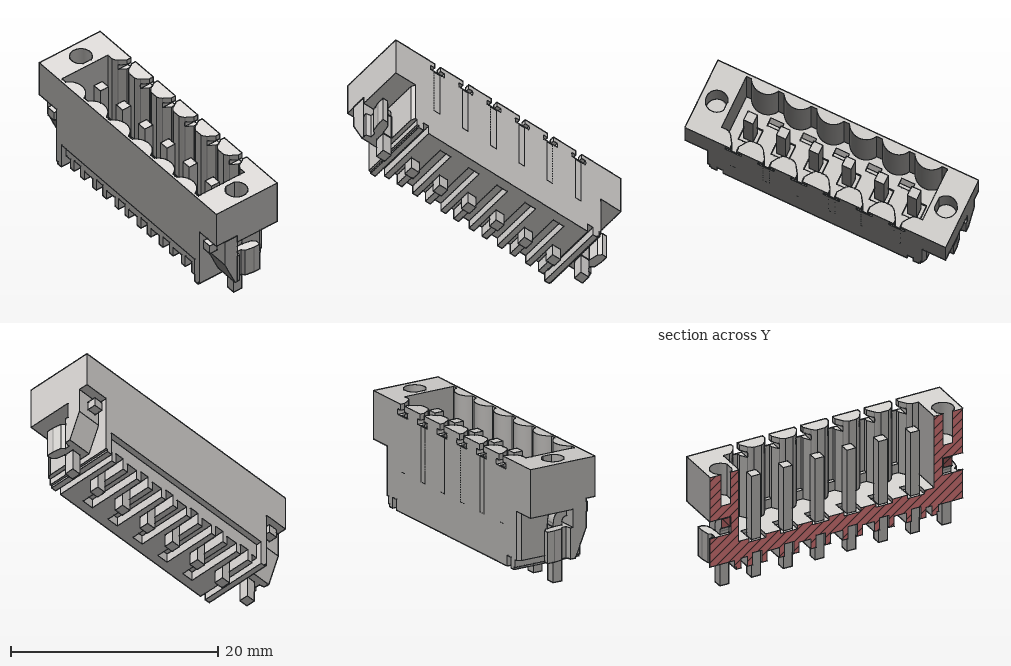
import cadquery as cq
import math


pin_count = 6
pitch = 3.5
pin_size = 1.0
pin_y = 3.53
contact_top = 11.25
contact_xs = [(i - (pin_count - 1) / 2) * pitch for i in range(pin_count)]
gap_xs = [(i - (pin_count - 2) / 2) * pitch for i in range(pin_count - 1)]
anchor_x = -(pin_count + 1) / 2 * pitch

length = 27.95
depth = 7.45
top = 12.55
base = 1.5
end_width = 2.7
left = -length / 2
main_left = left + end_width
edge_step_width = 0.2
edge_step_height = 0.27

cavity_length = 21.5
cavity_x = -0.025
cavity_front = 0.3
cavity_back = 5.9
cavity_floor = 4.6
front_lobe_radius = 1.63
front_lobe_crest = 1.18
flank_end = 0.83
flank_end_y = 6.25
crest_start = 1.33
flank_arc_mid = (1.06, 6.04)
slot_width = 0.7
slot_sill = 11.37
slot_front = 6.97
slot_web = 0.1
slot_web_bottom = 5.6
groove_radius = 0.87
groove_height = 0.56
pin_recess_size = 1.8
pin_recess_depth = 0.4
pocket_width = 1.4
pocket_front = 1.18
pocket_ridge = 1.62
pocket_back = 2.02
pocket_depth = 0.4

front_recess_length = pin_count * pitch
front_recess_depth = 0.6
front_recess_top = 4.35
foot_gap_top = 2.6
foot_gap_width = 1.3
foot_width = pitch - foot_gap_width
foot_gap_back = 6.5
pin_slot_top = 2.85

bracket_bottom = 2.53
bracket_front = 1.0
bracket_shoulder = 8.42
bevel_top = 5.5
bevel_bottom_y = 2.27
opening_front = 2.53
opening_top = 7.58
opening_depth = 2.27
lip_front = 7.0
lip_depth = 2.5
lug_top = 5.73
right_setback = 0.05
screw_hole_diameter = 2.2
screw_hole_depth = 3.5
screw_hole_y = 3.76

anchor_bend_radius = 1.5
anchor_tip_y = 0.1


def block(x0, x1, y0, y1, z0, z1):
    """Box between two opposite corners."""
    return cq.Workplane("XY").box(x1 - x0, y1 - y0, z1 - z0, centered=False).translate((x0, y0, z0))


def square_bar(x, y, size, z0, z1):
    """Upright square bar centred on (x, y)."""
    return block(x - size / 2, x + size / 2, y - size / 2, y + size / 2, z0, z1)


def prism(points, z0, z1):
    """Upright prism from a plan outline."""
    return cq.Workplane("XY").workplane(offset=z0).polyline(points).close().extrude(z1 - z0)


def post(x, y, radius, z0, z1):
    """Upright round post."""
    return cq.Workplane("XY").workplane(offset=z0).center(x, y).circle(radius).extrude(z1 - z0)


def make_contact(x):
    """Straight square contact."""
    return square_bar(x, pin_y, pin_size, 0, contact_top)


def make_anchor():
    """Left anchor pin: a leg that bends forward through the bracket."""
    leg_front = pin_y - pin_size / 2
    leg_back = pin_y + pin_size / 2
    bend_z = opening_top - anchor_bend_radius
    bend_y = leg_back - anchor_bend_radius
    inner_radius = anchor_bend_radius - pin_size
    diagonal = math.sqrt(0.5)
    outer_mid = (bend_y + anchor_bend_radius * diagonal, bend_z + anchor_bend_radius * diagonal)
    inner_mid = (bend_y + inner_radius * diagonal, bend_z + inner_radius * diagonal)
    return (
        cq.Workplane("YZ")
        .workplane(offset=anchor_x - pin_size / 2)
        .moveTo(leg_front, 0)
        .lineTo(leg_back, 0)
        .lineTo(leg_back, bend_z)
        .threePointArc(outer_mid, (bend_y, opening_top))
        .lineTo(anchor_tip_y, opening_top)
        .lineTo(anchor_tip_y, opening_top - pin_size)
        .lineTo(bend_y, opening_top - pin_size)
        .threePointArc(inner_mid, (leg_front, bend_z))
        .close()
        .extrude(pin_size)
    )


def make_back_bay(x):
    """Bay in the back wall behind a contact, between the flanks of two lobes."""
    mid_offset, mid_y = flank_arc_mid
    return (
        cq.Workplane("XY")
        .workplane(offset=cavity_floor)
        .center(x, 0)
        .moveTo(-crest_start, cavity_back)
        .threePointArc((-mid_offset, mid_y), (-flank_end, flank_end_y))
        .lineTo(-slot_width / 2, slot_front)
        .lineTo(slot_width / 2, slot_front)
        .lineTo(flank_end, flank_end_y)
        .threePointArc((mid_offset, mid_y), (crest_start, cavity_back))
        .close()
        .extrude(top - cavity_floor)
    )


def make_cavity():
    """Cavity volume, scalloped by the lobes left standing on its front and back walls."""
    x0 = cavity_x - cavity_length / 2
    x1 = cavity_x + cavity_length / 2
    cavity = block(x0, x1, cavity_front, cavity_back, cavity_floor, top)
    lobe_center_y = front_lobe_crest - front_lobe_radius
    for x in contact_xs:
        cavity = cavity.cut(post(x, lobe_center_y, front_lobe_radius, cavity_floor, top))
        cavity = cavity.union(make_back_bay(x))
    return cavity


def make_key_slot(x):
    """Slot through the back wall, a wider groove above its sill and a blind channel below."""
    slot = block(x - slot_width / 2, x + slot_width / 2, cavity_back, depth, slot_sill, top)
    groove = (
        cq.Workplane("XZ", origin=(x, depth, slot_sill + groove_height / 2))
        .circle(groove_radius)
        .extrude(depth - flank_end_y)
        .intersect(block(x - pitch, x + pitch, 0, depth, slot_sill, slot_sill + groove_height))
    )
    channel = block(
        x - slot_width / 2, x + slot_width / 2, cavity_back, depth - slot_web, slot_web_bottom, slot_sill
    )
    return slot.union(groove).union(channel)


def make_floor_pocket(x):
    """Small floor pocket with a flat back half and a sloping front half."""
    low = cavity_floor - pocket_depth
    return (
        cq.Workplane("YZ")
        .workplane(offset=x - pocket_width / 2)
        .polyline([
            (pocket_front, cavity_floor), (pocket_ridge, low), (pocket_back, low), (pocket_back, cavity_floor),
        ])
        .close()
        .extrude(pocket_width)
    )


def make_bracket():
    """Left end of the housing: upper block, bevelled foot, side opening and lug."""
    bracket = (
        cq.Workplane("YZ")
        .workplane(offset=left)
        .polyline([
            (0, top), (0, bracket_shoulder), (bracket_front, bracket_shoulder), (bracket_front, bevel_top),
            (bevel_bottom_y, bracket_bottom), (depth, bracket_bottom), (depth, top),
        ])
        .close()
        .extrude(end_width)
    )
    opening = prism([
        (left, opening_front), (left + opening_depth, opening_front), (left + opening_depth, lip_front),
        (left + lip_depth, depth), (left, depth),
    ], bracket_bottom, opening_top)
    lug_outline = [
        (0, opening_front), (0, 2.83), (0.6, 2.97), (0.6, 3.45), (0.28, 3.71), (0.12, 4.63), (0.12, 5.39),
        (0.65, 5.39), (1.0, 5.05), (1.2, 4.1), (opening_depth, 4.1), (opening_depth, opening_front),
    ]
    lug = prism([(left + inset, y) for inset, y in lug_outline], bracket_bottom, lug_top)
    screw_hole = post(anchor_x, screw_hole_y, screw_hole_diameter / 2, top - screw_hole_depth, top)
    return bracket.cut(opening).union(lug).cut(screw_hole)


def cut_underside(body):
    """Front recess, feet either side of each contact, and the stepped bottom end edges."""
    half = front_recess_length / 2
    body = body.cut(block(-half, half, 0, front_recess_depth, base, front_recess_top))
    for x in gap_xs:
        x0 = x - foot_gap_width / 2
        body = body.cut(block(x0, x0 + foot_gap_width, 0, foot_gap_back, base, foot_gap_top))
    row_end = contact_xs[-1] + foot_width / 2
    for x0, x1 in ((-half, -row_end), (row_end, half)):
        body = body.cut(block(x0, x1, 0, depth, base, foot_gap_top))
    for x in contact_xs:
        body = body.cut(block(x - pin_size / 2, x + pin_size / 2, 0, pin_y, base, pin_slot_top))
    for x0 in (main_left, -main_left - edge_step_width):
        body = body.cut(block(x0, x0 + edge_step_width, 0, depth, base, base + edge_step_height))
    return body


def make_housing(pins):
    """Whole housing, with a fitting hole for each pin."""
    body = cut_underside(block(main_left, -main_left, 0, depth, base, top))
    bracket = make_bracket()
    body = body.union(bracket).union(bracket.mirror("YZ"))
    right = -left
    setback_left = right - right_setback
    body = body.cut(block(setback_left, right, 0, depth, bracket_shoulder, top))
    body = body.cut(block(setback_left, right, opening_front, depth, bracket_bottom, top))
    body = body.cut(make_cavity())
    for x in contact_xs:
        body = body.cut(make_key_slot(x))
        body = body.cut(square_bar(x, pin_y, pin_recess_size, cavity_floor - pin_recess_depth, cavity_floor))
    for x in gap_xs:
        body = body.cut(make_floor_pocket(x))
    for pin in pins:
        body = body.cut(pin)
    return body


contacts = [make_contact(x) for x in contact_xs]
left_anchor = make_anchor()
anchors = [left_anchor, left_anchor.mirror("YZ")]
housing = make_housing(contacts + anchors)

result = cq.Compound.makeCompound(
    [housing.val(), *[contact.val() for contact in contacts], *[anchor.val() for anchor in anchors]]
)